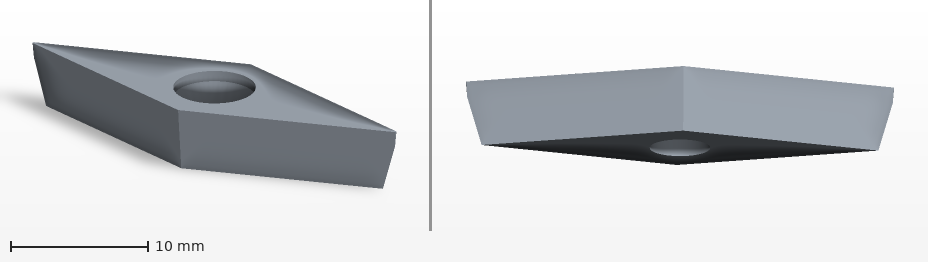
import cadquery as cq
import math

inscribed_diameter = 9.53
thickness = 4.75
length = 29.77
acute_angle = 35.0
relief_angle = 5.0

mouth_diameter = 6.0
mouth_depth = 0.8
bore_diameter = 4.4
seat_end_depth = 2.85

half_angle = math.radians(acute_angle / 2)
relief_slope = math.tan(math.radians(relief_angle))
half_width = inscribed_diameter / 2
side = inscribed_diameter / math.sin(math.radians(acute_angle))
tip_x = (side + inscribed_diameter / math.tan(math.radians(acute_angle))) / 2
shoulder_x = side - tip_x

tangent_length_per_radius = 1 / math.tan(half_angle)
nose_radius = (tip_x - length / 2) / (tangent_length_per_radius - 1)
nose_height = nose_radius / relief_slope


def half_turn(point):
    """Opposite point of the two-fold symmetric outline."""
    x, y, z = point
    return (-x, -y, z)


def polygon_face(points):
    return cq.Face.makeFromWires(cq.Wire.makePolygon(points, close=True))


def make_body():
    """Tapered rhombus whose acute edges carry conical noses that run out to sharp edges."""
    tangent_length = nose_radius * tangent_length_per_radius
    center = (-tip_x + tangent_length, -half_width + nose_radius)
    apex = (*center, -nose_height)
    front_tangent = (center[0], -half_width, 0)
    back_tangent = (
        -tip_x + tangent_length * math.cos(2 * half_angle),
        -half_width + tangent_length * math.sin(2 * half_angle),
        0,
    )
    center_to_tip = nose_radius / math.sin(half_angle)
    arc_middle = (
        -tip_x + (center_to_tip - nose_radius) * math.cos(half_angle),
        -half_width + (center_to_tip - nose_radius) * math.sin(half_angle),
        0,
    )

    inset = thickness * relief_slope
    shoulder = (shoulder_x, -half_width, 0)
    bottom_tip = (-tip_x + inset * tangent_length_per_radius, -half_width + inset, -thickness)
    bottom_shoulder = (shoulder_x - inset * math.tan(half_angle), -half_width + inset, -thickness)

    front_flank = polygon_face([front_tangent, apex, bottom_tip, bottom_shoulder, shoulder])
    back_flank = polygon_face(
        [back_tangent, apex, bottom_tip, half_turn(bottom_shoulder), half_turn(shoulder)]
    )
    cone = cq.Solid.makeCone(
        nose_radius,
        0,
        nose_height,
        cq.Vector(*center, 0),
        cq.Vector(0, 0, -1),
        180 - acute_angle,
    )
    nose = cq.Workplane(obj=cone).faces("%CONE").val()
    arc = cq.Workplane(obj=nose).edges("%CIRCLE").val()
    offset = arc.positionAt(0.5) - cq.Vector(*center, 0)
    turn = 180 + acute_angle / 2 - math.degrees(math.atan2(offset.y, offset.x))
    nose = nose.rotate(cq.Vector(*center, 0), cq.Vector(*center, 0.3), turn)

    top = (
        cq.Workplane("XY")
        .moveTo(*front_tangent[:2])
        .lineTo(*shoulder[:2])
        .lineTo(*half_turn(back_tangent)[:2])
        .threePointArc(half_turn(arc_middle)[:2], half_turn(front_tangent)[:2])
        .lineTo(*half_turn(shoulder)[:2])
        .lineTo(*back_tangent[:2])
        .threePointArc(arc_middle[:2], front_tangent[:2])
        .wire()
        .val()
    )
    faces = [
        cq.Face.makeFromWires(top),
        polygon_face(
            [bottom_tip, bottom_shoulder, half_turn(bottom_tip), half_turn(bottom_shoulder)]
        ),
    ]
    for face in (front_flank, back_flank, nose):
        faces.append(face)
        faces.append(face.rotate(cq.Vector(0, 0, 0), cq.Vector(0, 0, 1), 180))
    return cq.Workplane(obj=cq.Solid.makeSolid(cq.Shell.makeShell(faces)))


def make_screw_hole():
    """Revolved hole; the convex seat runs tangentially into the bore."""
    mouth_radius = mouth_diameter / 2
    bore_radius = bore_diameter / 2
    seat_width = mouth_radius - bore_radius
    seat_height = seat_end_depth - mouth_depth
    seat_radius = (seat_width**2 + seat_height**2) / (2 * seat_width)
    half_sweep = math.asin(seat_height / seat_radius) / 2
    seat_middle = (
        bore_radius + seat_radius * (1 - math.cos(half_sweep)),
        -seat_end_depth + seat_radius * math.sin(half_sweep),
    )
    return (
        cq.Workplane("XZ")
        .lineTo(mouth_radius, 0)
        .lineTo(mouth_radius, -mouth_depth)
        .threePointArc(seat_middle, (bore_radius, -seat_end_depth))
        .lineTo(bore_radius, -thickness)
        .lineTo(0, -thickness)
        .close()
        .revolve(360, (0, 0, 0), (0, 1, 0))
    )


result = make_body().cut(make_screw_hole())